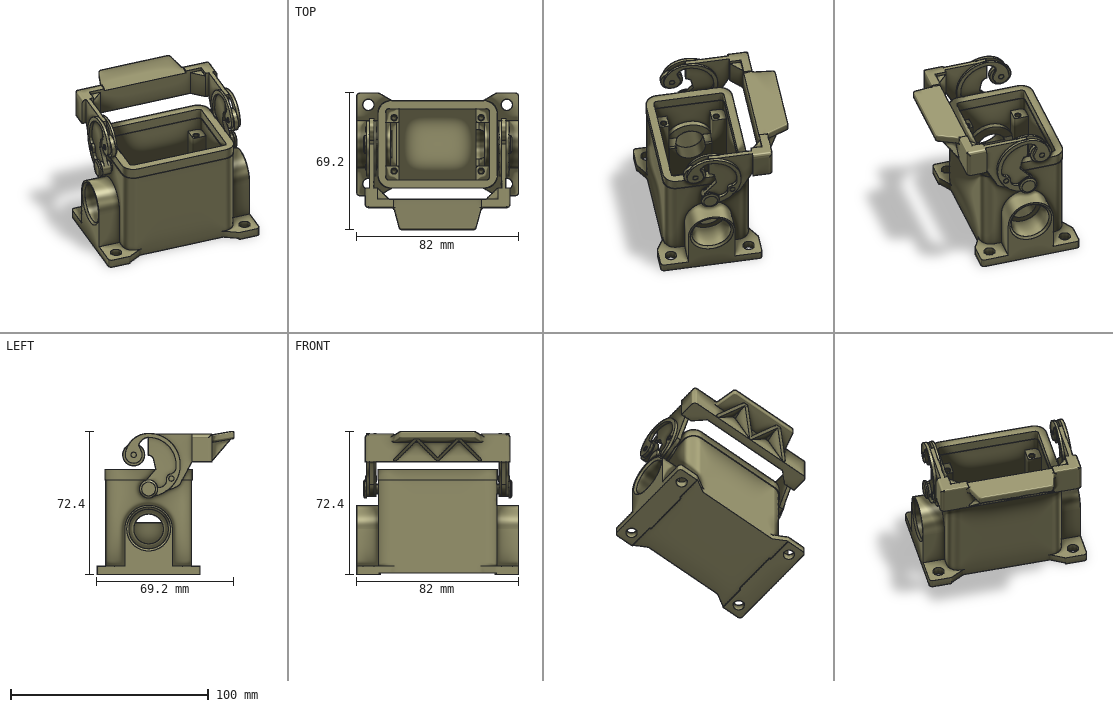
import cadquery as cq
import math

BASE_X, BASE_Y, BASE_Z = 82.0, 52.0, 4.25
BASE_CORNER_R = 1.75
TAB_INNER_X = 29.7
TAB_TOE_X = 22.55
TAB_BEND_R = 2.2
FOOT_RELIEF = 0.65
MOUNT_X, MOUNT_Y, MOUNT_D = 35.0, 20.0, 5.6
BODY_X, BODY_Y, BODY_R = 59.8, 43.6, 6.0
RIM_STEP = 0.3
RIM_BOTTOM_Z, RIM_TOP_Z = 47.8, 53.2
CAVITY_X, CAVITY_Y, CAVITY_R = 52.4, 36.0, 1.7
UNDERCUT, UNDERCUT_R = 0.3, 2.5
JOIN = 0.5

POST_INNER_X, POST_INNER_Y, POST_TOP_Z = 19.5, 11.0, 41.0
POST_EDGE_R = 1.0
SCREW_X, SCREW_Y = 22.0, 13.5
SCREW_D, SCREW_CHAMFER, SCREW_DEPTH = 3.2, 0.3, 12.0

ENTRY_Z, ENTRY_R = 23.0, 12.0
ENTRY_INNER_X = 23.8
LEDGE_EDGE_X = 20.9
SLOPE_TOP_Z = 27.0
SEAT_R, SEAT_X = 10.0, 27.0
MOUTH_CHAMFER = 1.1
HOLE_R = 7.5
BLIND_X = 23.0

CHEEK_OUT_X, WEB_OUT_X, WEB_IN_X, CHEEK_IN_X = 36.05, 34.5, 32.3, 31.1
RIVET_PROUD = 0.3
RIVET_R = 1.35
PIVOT_Z, PIVOT_SHAFT_R, PIVOT_HEAD_R = 43.25, 2.5, 4.6
PIVOT_HEAD_OUT_X, PIVOT_HEAD_CHAMFER = 37.55, (0.6, 1.1)
ARM_Z, ARM_R, ARM_WIDTH = 55.4, 16.0, 2.1
ROLLER_Y, ROLLER_Z, ROLLER_R = 7.55, 60.5, 5.6
LOBE_R = 4.25
STOP_Y, STOP_Z, STOP_R = -11.5, 48.5, 2.4

BAR_HALF_X = 36.7
BAR_BACK_Y, BAR_FRONT_Y, BAR_INNER_Y = -22.0, -32.1, -27.7
BAR_BOTTOM_Z, BAR_TOP_Z = 57.0, 71.05
BAR_ARM_IN_X, GUSSET_X, GUSSET_TOP_Z = 30.45, 24.5, 69.5
BAR_SIDE_R, BAR_FRONT_R = 2.1, 0.8
LIP_FRONT_Y, LIP_TOP_Z, LIP_SLOPE = -43.2, 72.59, math.radians(9.7)
LIP_THICK = 3.9
LIP_ROOT_X, LIP_END_X = 22.2, 19.2
LIP_FLARE = 2.0
LIP_ROOT_R, LIP_CORNER_R, LIP_EDGE_R = 1.7, 1.5, 0.9
RIB_PITCH, RIB_RISE, RIB_WIDTH = 10.7, 10.7, 1.5
RIB_LOW_Z, RIB_FOOT_Z, RIB_TIP_Y = 58.0, 57.4, -41.5


def box(x0, x1, y0, y1, z0, z1):
    return cq.Workplane("XY").box(x1 - x0, y1 - y0, z1 - z0, centered=False).translate((x0, y0, z0))


def on_yz(x):
    """Workplane at X = x whose axes are Y and Z."""
    return cq.Workplane("YZ", origin=(x, 0, 0))


def disc(y, z, radius, x0, x1):
    return on_yz(x0).center(y, z).circle(radius).extrude(x1 - x0)


def both_ends(shape):
    return shape.union(shape.mirror("YZ"))


def on_circle(y, z, radius, degrees):
    angle = math.radians(degrees)
    return (y + radius * math.cos(angle), z + radius * math.sin(angle))


def rounded_block(size_x, size_y, radius, z0, z1):
    block = box(-size_x / 2, size_x / 2, -size_y / 2, size_y / 2, z0, z1)
    return block.edges("|Z").fillet(radius)


def base_plate():
    half_x, half_y, body_y = BASE_X / 2, BASE_Y / 2, BODY_Y / 2
    quarter = [(0, 0), (half_x, 0), (half_x, half_y), (TAB_INNER_X, half_y), (TAB_TOE_X, body_y), (0, body_y)]
    plate = cq.Workplane("XY").polyline(quarter).close().extrude(BASE_Z)
    plate = plate.edges("|Z and >X and >Y").fillet(BASE_CORNER_R)
    slope_ends = cq.selectors.BoxSelector((TAB_TOE_X - 1, body_y - 1, 0), (TAB_INNER_X + 1, half_y + 1, BASE_Z))
    plate = plate.edges("|Z").edges(slope_ends).fillet(TAB_BEND_R)
    plate = both_ends(plate)
    plate = plate.union(plate.mirror("XZ"))
    holes = cq.Workplane("XY").rect(2 * MOUNT_X, 2 * MOUNT_Y, forConstruction=True).vertices()
    return plate.cut(holes.circle(MOUNT_D / 2).extrude(BASE_Z))


def entry_boss():
    """Solid cable entry on the -X end, reaching into the cavity."""
    tube = disc(0, ENTRY_Z, ENTRY_R, -BASE_X / 2, -ENTRY_INNER_X)
    foot = box(-BASE_X / 2, -ENTRY_INNER_X, -ENTRY_R, ENTRY_R, FOOT_RELIEF, ENTRY_Z)
    return tube.union(foot)


def entry_ledge():
    """Sloped ledge between the two posts of the -X end."""
    slope_low_z = SLOPE_TOP_Z - (ENTRY_INNER_X - LEDGE_EDGE_X)
    profile = [
        (-CAVITY_X / 2, FOOT_RELIEF),
        (-CAVITY_X / 2, SLOPE_TOP_Z),
        (-ENTRY_INNER_X, SLOPE_TOP_Z),
        (-LEDGE_EDGE_X, slope_low_z),
        (-POST_INNER_X, slope_low_z),
        (-POST_INNER_X, FOOT_RELIEF),
    ]
    return cq.Workplane("XZ").polyline(profile).close().extrude(POST_INNER_Y, both=True)


def post():
    """Screw post in the (-X, +Y) corner of the cavity."""
    column = box(
        -CAVITY_X / 2 - JOIN, -POST_INNER_X, POST_INNER_Y, CAVITY_Y / 2 + JOIN, FOOT_RELIEF, POST_TOP_Z
    )
    column = column.edges("|Z and >X and <Y").fillet(POST_EDGE_R)
    radius, mouth_z = SCREW_D / 2, POST_TOP_Z - SCREW_CHAMFER
    profile = [
        (0, POST_TOP_Z),
        (radius, POST_TOP_Z),
        (radius - SCREW_CHAMFER, mouth_z),
        (radius - SCREW_CHAMFER, POST_TOP_Z - SCREW_DEPTH),
        (0, POST_TOP_Z - SCREW_DEPTH - radius),
    ]
    screw_hole = cq.Workplane("XZ").polyline(profile).close().revolve(360, (0, 0), (0, 1))
    return column.cut(screw_hole.translate((-SCREW_X, SCREW_Y, 0)))


def entry_seat():
    """Chamfered counterbore of the -X entry."""
    end = -BASE_X / 2
    seat = disc(0, ENTRY_Z, SEAT_R, end, -SEAT_X)
    cone = cq.Solid.makeCone(
        SEAT_R + MOUTH_CHAMFER, SEAT_R, MOUTH_CHAMFER, cq.Vector(end, 0, ENTRY_Z), cq.Vector(1, 0, 0)
    )
    return seat.union(cq.Workplane(cone))


def housing():
    body = rounded_block(BODY_X, BODY_Y, BODY_R, FOOT_RELIEF, RIM_BOTTOM_Z)
    rim = rounded_block(BODY_X + 2 * RIM_STEP, BODY_Y + 2 * RIM_STEP, BODY_R + RIM_STEP, RIM_BOTTOM_Z, RIM_TOP_Z)
    relief = box(-TAB_INNER_X, TAB_INNER_X, -BASE_Y, BASE_Y, 0, FOOT_RELIEF)
    cavity = rounded_block(CAVITY_X, CAVITY_Y, CAVITY_R, BASE_Z, RIM_TOP_Z)
    shell = base_plate().cut(relief).union(body).union(rim).union(both_ends(
        box(-BASE_X / 2, -BODY_X / 2 + 1, -ENTRY_R, ENTRY_R, 0, BASE_Z)))
    undercut = rounded_block(
        CAVITY_X + 2 * UNDERCUT, CAVITY_Y + 2 * UNDERCUT, UNDERCUT_R, BASE_Z, RIM_BOTTOM_Z
    )
    shell = shell.cut(cavity).cut(undercut)
    corner_post = both_ends(post())
    shell = shell.union(corner_post).union(corner_post.mirror("XZ"))
    shell = shell.union(both_ends(entry_boss())).union(both_ends(entry_ledge()))
    shell = shell.cut(both_ends(entry_seat()))
    blind_hole = disc(0, ENTRY_Z, HOLE_R, -SEAT_X, -BLIND_X)
    open_hole = disc(0, ENTRY_Z, HOLE_R, POST_INNER_X, SEAT_X)
    return shell.cut(blind_hole).cut(open_hole)


def cheek(x0, x1):
    """C-shaped lever side, from the roller lobe round to the pivot."""
    top = (0, ARM_Z + ARM_R)
    pivot_lobe_r = PIVOT_Z - (ARM_Z - ARM_R)
    drop = top[1] - ROLLER_Z
    shoulder_r = (ROLLER_Y ** 2 + drop ** 2 - LOBE_R ** 2) / (2 * (drop - LOBE_R))
    shoulder_z = top[1] - shoulder_r
    lobe_angle = math.degrees(math.atan2(ROLLER_Z - shoulder_z, ROLLER_Y))
    inner_r = ARM_R - ARM_WIDTH
    throat = (5.0, 65.3)
    profile = (
        on_yz(x0)
        .moveTo(*on_circle(0, shoulder_z, shoulder_r, lobe_angle))
        .threePointArc(on_circle(0, shoulder_z, shoulder_r, (lobe_angle + 90) / 2), top)
        .threePointArc((-ARM_R, ARM_Z), (0, ARM_Z - ARM_R))
        .threePointArc((pivot_lobe_r, PIVOT_Z), (0, PIVOT_Z + pivot_lobe_r))
        .lineTo(-4.7, 43.9)
        .threePointArc((-7.9, 45.1), (STOP_Y + STOP_R, STOP_Z - 1.5))
        .lineTo(STOP_Y + STOP_R, STOP_Z)
        .threePointArc(on_circle(STOP_Y, STOP_Z, STOP_R, 45), (STOP_Y, STOP_Z + STOP_R))
        .threePointArc((-13.2, 52.2), (-inner_r, ARM_Z - 1))
        .lineTo(-inner_r, ARM_Z)
        .threePointArc(on_circle(0, ARM_Z, inner_r, 135), (0, ARM_Z + inner_r))
        .threePointArc((3.4, 67.9), throat)
        .lineTo(*on_circle(ROLLER_Y, ROLLER_Z, LOBE_R, 150))
        .threePointArc(
            on_circle(ROLLER_Y, ROLLER_Z, LOBE_R, 270), on_circle(0, shoulder_z, shoulder_r, lobe_angle)
        )
        .close()
    )
    return profile.extrude(x1 - x0)


def web():
    """Middle plate of the -X lever, running back to the handle."""
    pivot_lobe_r = PIVOT_Z - (ARM_Z - ARM_R)
    profile = (
        on_yz(-WEB_OUT_X)
        .moveTo(0.3, BAR_TOP_Z)
        .lineTo(BAR_BACK_Y, BAR_TOP_Z)
        .lineTo(BAR_BACK_Y, BAR_BOTTOM_Z)
        .lineTo(-15.7, 45.4)
        .threePointArc((-13.2, 43.9), (-10.5, 42.9))
        .lineTo(0, ARM_Z - ARM_R)
        .threePointArc((pivot_lobe_r, PIVOT_Z), on_circle(0, PIVOT_Z, pivot_lobe_r, 45))
        .lineTo(-3.55, 53.2)
        .lineTo(-2.4, 58.4)
        .threePointArc((-1.2, 59.9), (0.3, 60.3))
        .close()
    )
    return profile.extrude(WEB_OUT_X - WEB_IN_X)


def lever():
    """Complete -X lever with its pivot pin, roller and rivets."""
    arm = web().union(cheek(-CHEEK_OUT_X, -WEB_OUT_X)).union(cheek(-WEB_IN_X, -CHEEK_IN_X))
    arm = arm.union(disc(ROLLER_Y, ROLLER_Z, ROLLER_R, -WEB_OUT_X, -WEB_IN_X))
    for y, z in ((ROLLER_Y, ROLLER_Z), (STOP_Y, STOP_Z)):
        arm = arm.union(disc(y, z, RIVET_R, -CHEEK_OUT_X - RIVET_PROUD, -CHEEK_IN_X + RIVET_PROUD))
    head = disc(0, PIVOT_Z, PIVOT_HEAD_R, -PIVOT_HEAD_OUT_X, -CHEEK_OUT_X)
    head = head.faces("<X").edges().chamfer(*PIVOT_HEAD_CHAMFER)
    shaft = disc(0, PIVOT_Z, PIVOT_SHAFT_R, -CHEEK_OUT_X, -BODY_X / 2 + 1)
    return arm.union(head).union(shaft)


def handle_bar():
    block = box(-BAR_HALF_X, BAR_HALF_X, BAR_FRONT_Y, BAR_BACK_Y, BAR_BOTTOM_Z, BAR_TOP_Z)
    bar = block.edges("|Z and <Y").fillet(BAR_SIDE_R)
    bar = bar.intersect(block.edges("|Y and >Z").fillet(BAR_SIDE_R))
    bar = bar.intersect(block.edges("|X and <Y and >Z").fillet(BAR_FRONT_R))
    opening = box(-BAR_ARM_IN_X, BAR_ARM_IN_X, BAR_INNER_Y, BAR_BACK_Y, BAR_BOTTOM_Z, BAR_TOP_Z)
    gusset = (
        cq.Workplane("XY", origin=(0, 0, BAR_BOTTOM_Z))
        .polyline([(-BAR_ARM_IN_X, BAR_BACK_Y), (-BAR_ARM_IN_X, BAR_INNER_Y), (-GUSSET_X, BAR_INNER_Y)])
        .close()
        .extrude(GUSSET_TOP_Z - BAR_BOTTOM_Z)
    )
    lip_seat_side = [
        (BAR_INNER_Y, lip_top_z(BAR_INNER_Y)),
        (BAR_INNER_Y, LIP_TOP_Z),
        (BAR_FRONT_Y, LIP_TOP_Z),
        (BAR_FRONT_Y, lip_top_z(BAR_FRONT_Y)),
    ]
    lip_seat = on_yz(0).polyline(lip_seat_side).close().extrude(LIP_ROOT_X, both=True)
    return bar.cut(opening).cut(lip_seat).union(both_ends(gusset))


def lip_top_z(y):
    return LIP_TOP_Z - (y - LIP_FRONT_Y) * math.tan(LIP_SLOPE)


def lip():
    """Sloping thumb lip, narrower towards its front edge."""
    half_plan = [
        (0, BAR_INNER_Y),
        (LIP_ROOT_X + LIP_FLARE, BAR_INNER_Y),
        (LIP_ROOT_X + LIP_FLARE, BAR_FRONT_Y),
        (LIP_ROOT_X, BAR_FRONT_Y),
        (LIP_END_X, LIP_FRONT_Y),
        (0, LIP_FRONT_Y),
    ]
    side = [
        (BAR_INNER_Y, lip_top_z(BAR_INNER_Y)),
        (LIP_FRONT_Y, LIP_TOP_Z),
        (LIP_FRONT_Y, LIP_TOP_Z - LIP_THICK),
        (BAR_INNER_Y, lip_top_z(BAR_INNER_Y) - LIP_THICK),
    ]
    slab = cq.Workplane("XY").polyline(half_plan).close().extrude(2 * LIP_TOP_Z)
    slab = slab.edges("|Z and <Y and (not <X)").fillet(LIP_CORNER_R)
    root_edge = cq.selectors.NearestToPointSelector((LIP_ROOT_X, BAR_FRONT_Y, LIP_TOP_Z))
    slab = slab.edges("|Z").edges(root_edge).fillet(LIP_ROOT_R)
    slab = both_ends(slab)
    slab = slab.intersect(on_yz(0).polyline(side).close().extrude(BAR_HALF_X, both=True))
    return slab.edges("|X and <Y").fillet(LIP_EDGE_R)


def lip_ribs():
    """Zigzag ribs that brace the lip against the bar."""
    wedge_side = [
        (BAR_FRONT_Y, RIB_FOOT_Z),
        (RIB_TIP_Y, lip_top_z(RIB_TIP_Y) - LIP_THICK),
        (BAR_FRONT_Y, lip_top_z(BAR_FRONT_Y) - LIP_THICK),
    ]
    wedge = on_yz(0).polyline(wedge_side).close().extrude(LIP_ROOT_X, both=True)
    centre_z = RIB_LOW_Z + RIB_RISE / 2
    length = math.hypot(RIB_PITCH, RIB_RISE) + RIB_WIDTH
    tilt = math.degrees(math.atan2(RIB_RISE, RIB_PITCH))
    depth = BAR_FRONT_Y - LIP_FRONT_Y
    bars = None
    for index, direction in enumerate((1, -1, 1, -1)):
        x = (index - 1.5) * RIB_PITCH
        rib = cq.Workplane("XZ").rect(length, RIB_WIDTH).extrude(depth)
        rib = rib.rotate((0, 0, 0), (0, 1, 0), -direction * tilt)
        rib = rib.translate((x, BAR_FRONT_Y, centre_z))
        bars = rib if bars is None else bars.union(rib)
    return bars.intersect(wedge)


result = housing().union(both_ends(lever())).union(handle_bar()).union(lip()).union(lip_ribs())